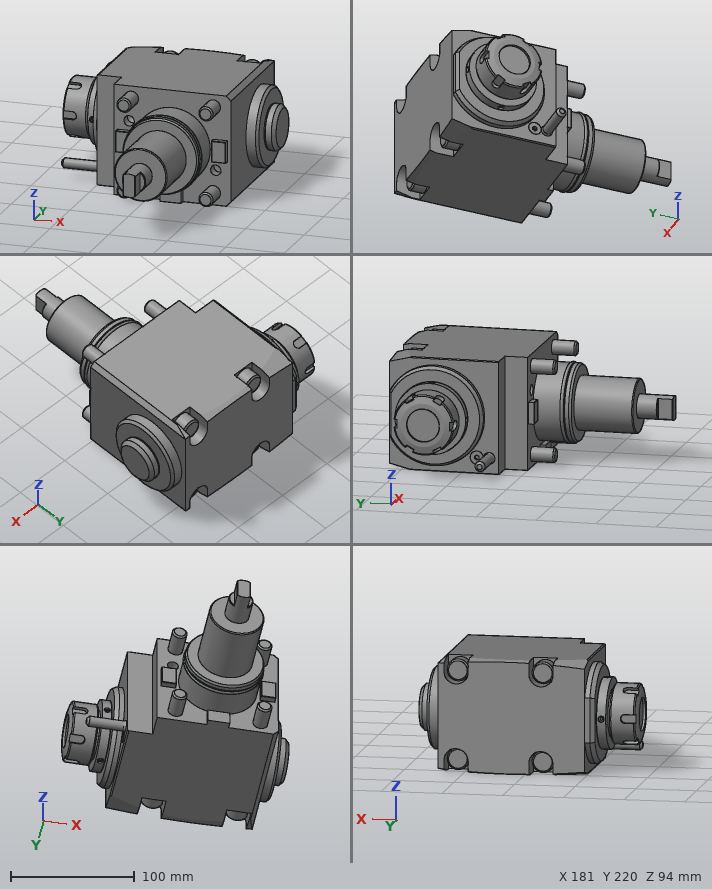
import cadquery as cq
import math


HEIGHT = 94.0
TOP_Z = HEIGHT / 2
LEFT_X = -70.8
RIGHT_X = 50.0
BACK_Y = 110.0
STEP_X = -50.0
STEP_Y = 19.0
RIGHT_CHAMFER = 4.0
LEFT_CHAMFER_X = 1.3
LEFT_CHAMFER_Z = 0.7
CONE_CENTRE_X = -6.4
CONE_CENTRE_Y = -39.2
CONE_RADIUS = 145.2
CONE_REACH = 66.0
CONE_ANGLE = 15.0

SPINDLE_Y = 72.0
FLANGE_X = -78.8
FLANGE_RADIUS = 41.4
FLANGE_CHAMFER_LENGTH = 3.7
FLANGE_CHAMFER_DEPTH = 2.2
FLANGE_FLAT_Y = 109.0
CAP_X = 60.3
CAP_RADIUS = 33.9
CAP_CHAMFER = 2.2
STUB_NECK_LENGTH = 1.0
STUB_NECK_RADIUS = 19.0
STUB_RADIUS = 19.4
STUB_CHAMFER = 3.0

NUT_FRONT_X = -111.3
OVERALL_X = 181.0
STUB_END_X = NUT_FRONT_X + OVERALL_X
RING_FRONT_X = -86.7
RING_RADIUS = 29.5
RING_CHAMFER = 0.5
NECK_RADIUS = 20.2
NUT_BACK_X = -88.7
NUT_RADIUS = 50.0 / 2
NUT_BACK_CHAMFER = 1.3
NUT_RIM_RADIUS = 24.0
NUT_RIM_SETBACK = 1.8
NUT_BEVEL_SETBACK = 2.9
NUT_FACE_RADIUS = 18.0
NUT_RECESS_RADIUS = 13.6
NUT_RECESS_DEPTH = 2.0
SLOT_COUNT = 6
SLOT_WIDTH = 7.0
SLOT_END_X = -98.0
SLOT_FLOOR_RADIUS = 22.0
RING_SCREW_COUNT = 4
RING_SCREW_RADIUS = 2.5
RING_SCREW_SETBACK = 1.8
RING_SOCKET_FLATS = 2.2
RING_SOCKET_DEPTH = 3.3

COLLAR_RADIUS = 32.3
COLLAR_LENGTH = 31.7
COLLAR_CHAMFER_LENGTH = 2.0
COLLAR_CHAMFER_DEPTH = 1.0
GROOVE_START = 22.5
GROOVE_END = 26.2
GROOVE_RADIUS = 30.8
SEAL_WIDTH = 2.9
SEAL_RADIUS = 33.2
SHANK_RADIUS = 22.5
SHANK_END = 80.7
SHANK_CHAMFER = 0.9
DRIVE_RADIUS = 20.0 / 2
DRIVE_STEP = 98.0
DRIVE_STEP_CHAMFER = 0.7
DRIVE_END = 110.0
TANG_WIDTH = 11.0
TANG_CHAMFER = 0.7

SCREW_X = 35.0
SCREW_Z = 36.5
SCREW_RADIUS = 12.0 / 2
SCREW_END = 20.0
SCREW_CHAMFER = 1.3
HEAD_RADIUS = 9.0
HEAD_LENGTH = 12.3
HEAD_CHAMFER = 1.3
POCKET_RADIUS = 10.0
POCKET_FLOOR_Y = 89.5

KEY_WIDTH = 18.0
KEY_LENGTH = 12.0
KEY_HEIGHT = 4.8
KEY_CENTRE_X = 41.0
KEY_CHAMFER = 0.5

PIN_HOLE_X = 37.0
PIN_HOLE_Z = 17.2
PIN_HOLE_RADIUS = 4.5
PIN_HOLE_DEPTH = 8.8
DRILL_POINT_ANGLE = 118.0

PIPE_Y = 26.8
PIPE_Z = -33.7
PIPE_RADIUS = 4.2
PIPE_END_X = -103.0
PIPE_CHAMFER = 2.0
PIPE_FOOT_LENGTH = 2.0
PIPE_FOOT_RADIUS = 4.8
PLUG_Y = 37.2
PLUG_RADIUS = 5.5
PLUG_SETBACK = 0.2
PLUG_SOCKET_FLATS = 3.5
PLUG_SOCKET_DEPTH = 3.3

EMBED = 2.2


def box_between(low, high):
    """Box between two opposite corners."""
    size = [b - a for a, b in zip(low, high)]
    return cq.Workplane("XY").box(*size, centered=False).translate(low)


def cylinder(start, direction, radius, length):
    """Round bar from a start point along a direction."""
    solid = cq.Solid.makeCylinder(radius, length, cq.Vector(*start), cq.Vector(*direction))
    return cq.Workplane(obj=solid)


def hex_prism(start, direction, flats, length):
    """Hexagonal bar given by its size across flats."""
    corner_diameter = flats / math.cos(math.radians(30))
    plane = cq.Plane(origin=start, normal=direction)
    return cq.Workplane(plane).polygon(6, corner_diameter).extrude(length)


def turned_along_x(points, y, z):
    """Body of revolution about a line parallel to X, from (x, radius) points."""
    profile = cq.Workplane("XY").polyline(points).close()
    return profile.revolve(360, (0, 0, 0), (1, 0, 0)).translate((0, y, z))



def conical_envelope():
    """Flat-topped disc whose rim slopes off above and below."""
    outer = CONE_RADIUS + CONE_REACH
    rim_z = TOP_Z - CONE_REACH * math.tan(math.radians(CONE_ANGLE))
    points = [
        (0, -TOP_Z), (CONE_RADIUS, -TOP_Z), (outer, -rim_z),
        (outer, rim_z), (CONE_RADIUS, TOP_Z), (0, TOP_Z),
    ]
    disc = cq.Workplane("XZ").polyline(points).close().revolve(360, (0, 0, 0), (0, 1, 0))
    return disc.translate((CONE_CENTRE_X, CONE_CENTRE_Y, 0))


def block():
    """Stepped block with chamfered sides and the conical relief at the back."""
    side_z = TOP_Z - LEFT_CHAMFER_Z
    end_z = TOP_Z - RIGHT_CHAMFER
    section = [
        (LEFT_X, -side_z), (LEFT_X + LEFT_CHAMFER_X, -TOP_Z),
        (RIGHT_X - RIGHT_CHAMFER, -TOP_Z), (RIGHT_X, -end_z),
        (RIGHT_X, end_z), (RIGHT_X - RIGHT_CHAMFER, TOP_Z),
        (LEFT_X + LEFT_CHAMFER_X, TOP_Z), (LEFT_X, side_z),
    ]
    body = cq.Workplane("XZ").polyline(section).close().extrude(-BACK_Y)
    step = box_between((LEFT_X, 0, -TOP_Z), (STEP_X, STEP_Y, TOP_Z))
    return body.cut(step).intersect(conical_envelope())


def flange():
    """Chamfered disc on the left face with a flat, also chamfered, on its back side."""
    def outline(inset, x):
        flat_y = FLANGE_FLAT_Y - inset
        radius = FLANGE_RADIUS - inset
        half_flat = math.sqrt(radius ** 2 - (flat_y - SPINDLE_Y) ** 2)
        plane = cq.Workplane("YZ", origin=(x, 0, 0))
        arc = plane.moveTo(flat_y, -half_flat).threePointArc((SPINDLE_Y - radius, 0), (flat_y, half_flat))
        return arc.close()

    shoulder_x = FLANGE_X + FLANGE_CHAMFER_LENGTH
    rim = outline(0, shoulder_x).extrude(LEFT_X + EMBED - shoulder_x)
    inner = outline(FLANGE_CHAMFER_DEPTH, FLANGE_X).wires().val()
    outer = outline(0, shoulder_x).wires().val()
    bevel = cq.Workplane(obj=cq.Solid.makeLoft([inner, outer], True))
    return rim.union(bevel)


def rear_cap():
    """Bearing cap and stub on the right face."""
    neck_end_x = CAP_X + STUB_NECK_LENGTH
    points = [
        (RIGHT_X - EMBED, 0), (RIGHT_X - EMBED, CAP_RADIUS),
        (CAP_X - CAP_CHAMFER, CAP_RADIUS), (CAP_X, CAP_RADIUS - CAP_CHAMFER),
        (CAP_X, STUB_NECK_RADIUS), (neck_end_x, STUB_NECK_RADIUS),
        (neck_end_x, STUB_RADIUS), (STUB_END_X - STUB_CHAMFER, STUB_RADIUS),
        (STUB_END_X, STUB_RADIUS - STUB_CHAMFER), (STUB_END_X, 0),
    ]
    return turned_along_x(points, SPINDLE_Y, 0)


def shank():
    """Collar with a seal in its groove, round shank and drive shaft with a flat tang."""
    seal_end = GROOVE_START + SEAL_WIDTH
    profile = (
        cq.Workplane("XY").moveTo(0, EMBED)
        .lineTo(COLLAR_RADIUS, EMBED)
        .lineTo(COLLAR_RADIUS, -GROOVE_START)
        .threePointArc((SEAL_RADIUS, -GROOVE_START - SEAL_WIDTH / 2), (COLLAR_RADIUS, -seal_end))
        .lineTo(GROOVE_RADIUS, -seal_end)
        .lineTo(GROOVE_RADIUS, -GROOVE_END)
        .lineTo(COLLAR_RADIUS, -GROOVE_END)
        .lineTo(COLLAR_RADIUS, -COLLAR_LENGTH + COLLAR_CHAMFER_LENGTH)
        .lineTo(COLLAR_RADIUS - COLLAR_CHAMFER_DEPTH, -COLLAR_LENGTH)
        .lineTo(SHANK_RADIUS, -COLLAR_LENGTH)
        .lineTo(SHANK_RADIUS, -SHANK_END + SHANK_CHAMFER)
        .lineTo(SHANK_RADIUS - SHANK_CHAMFER, -SHANK_END)
        .lineTo(DRIVE_RADIUS, -SHANK_END)
        .lineTo(DRIVE_RADIUS, -DRIVE_STEP + DRIVE_STEP_CHAMFER)
        .lineTo(DRIVE_RADIUS - DRIVE_STEP_CHAMFER, -DRIVE_STEP)
        .lineTo(0, -DRIVE_STEP)
        .close()
    )
    turned = profile.revolve(360, (0, 0, 0), (0, 1, 0))
    return turned.union(tang())


def tang():
    """Flat driving tang at the end of the drive shaft."""
    start_y = EMBED - DRIVE_STEP
    bar = cylinder((0, start_y, 0), (0, -1, 0), DRIVE_RADIUS, DRIVE_END + start_y)
    half = TANG_WIDTH / 2
    section = [
        (-half, start_y), (-half, TANG_CHAMFER - DRIVE_END), (TANG_CHAMFER - half, -DRIVE_END),
        (half - TANG_CHAMFER, -DRIVE_END), (half, TANG_CHAMFER - DRIVE_END), (half, start_y),
    ]
    blade = cq.Workplane("XY").polyline(section).close().extrude(DRIVE_RADIUS, both=True)
    return bar.intersect(blade)


def screw_pocket(x, side):
    """Counterbore at the back, open towards the top (side 1) or bottom (side -1)."""
    z = side * SCREW_Z
    depth = BACK_Y - POCKET_FLOOR_Y
    bore = cylinder((x, POCKET_FLOOR_Y, z), (0, 1, 0), POCKET_RADIUS, depth)
    low_z, high_z = sorted((z, side * TOP_Z))
    opening = box_between(
        (x - POCKET_RADIUS, POCKET_FLOOR_Y, low_z),
        (x + POCKET_RADIUS, BACK_Y, high_z),
    )
    return bore.union(opening)


def screw(x, z):
    """Head in the pocket and the thread end standing out of the front face."""
    head = cylinder((x, POCKET_FLOOR_Y - EMBED, z), (0, 1, 0), HEAD_RADIUS, HEAD_LENGTH + EMBED)
    thread = cylinder((x, EMBED, z), (0, -1, 0), SCREW_RADIUS, SCREW_END + EMBED)
    return head.faces(">Y").chamfer(HEAD_CHAMFER).union(thread.faces("<Y").chamfer(SCREW_CHAMFER))


def keys():
    """Key on each side of the shank and one below it, flush with the bottom face."""
    half = KEY_WIDTH / 2
    bodies = box_between((-half, -KEY_HEIGHT, -TOP_Z), (half, EMBED, KEY_LENGTH - TOP_Z))
    for side in (-1, 1):
        x = side * KEY_CENTRE_X
        key = box_between(
            (x - KEY_LENGTH / 2, -KEY_HEIGHT, -half),
            (x + KEY_LENGTH / 2, EMBED, half),
        )
        bodies = bodies.union(key.faces("<Y").chamfer(KEY_CHAMFER))
    return bodies


def pin_holes():
    """One drilled hole with a conical bottom and one flat-bottomed hole."""
    point_depth = PIN_HOLE_RADIUS / math.tan(math.radians(DRILL_POINT_ANGLE / 2))
    flat = cylinder((PIN_HOLE_X, 0, -PIN_HOLE_Z), (0, 1, 0), PIN_HOLE_RADIUS, PIN_HOLE_DEPTH)
    drilled = cylinder((-PIN_HOLE_X, 0, PIN_HOLE_Z), (0, 1, 0), PIN_HOLE_RADIUS, PIN_HOLE_DEPTH)
    point = cq.Solid.makeCone(
        PIN_HOLE_RADIUS, 0, point_depth,
        cq.Vector(-PIN_HOLE_X, PIN_HOLE_DEPTH, PIN_HOLE_Z), cq.Vector(0, 1, 0),
    )
    return flat.union(drilled).union(cq.Workplane(obj=point))


def coolant_pipe():
    """Straight pipe with a bevelled tip and a conical foot."""
    foot_x = LEFT_X - PIPE_FOOT_LENGTH
    points = [
        (LEFT_X + EMBED, 0), (LEFT_X + EMBED, PIPE_FOOT_RADIUS), (LEFT_X, PIPE_FOOT_RADIUS),
        (foot_x, PIPE_RADIUS), (PIPE_END_X + PIPE_CHAMFER, PIPE_RADIUS),
        (PIPE_END_X, PIPE_RADIUS - PIPE_CHAMFER), (PIPE_END_X, 0),
    ]
    return turned_along_x(points, PIPE_Y, PIPE_Z)


def plug_recess():
    """Shallow seat of the coolant plug and its hexagon socket."""
    start = (LEFT_X, PLUG_Y, PIPE_Z)
    seat = cylinder(start, (1, 0, 0), PLUG_RADIUS, PLUG_SETBACK)
    return seat.union(hex_prism(start, (1, 0, 0), PLUG_SOCKET_FLATS, PLUG_SOCKET_DEPTH))


def make_housing():
    body = block().cut(pin_holes()).cut(plug_recess())
    for x in (-SCREW_X, SCREW_X):
        for side in (-1, 1):
            body = body.cut(screw_pocket(x, side)).union(screw(x, side * SCREW_Z))
    for feature in (flange(), rear_cap(), shank(), keys(), coolant_pipe()):
        body = body.union(feature)
    return body



def spindle_blank():
    """Turned nut, neck and ring, seated on the flange face."""
    recess_x = NUT_FRONT_X + NUT_RECESS_DEPTH
    points = [
        (recess_x, 0), (recess_x, NUT_RECESS_RADIUS), (NUT_FRONT_X, NUT_RECESS_RADIUS),
        (NUT_FRONT_X, NUT_FACE_RADIUS), (NUT_FRONT_X + NUT_RIM_SETBACK, NUT_RIM_RADIUS),
        (NUT_FRONT_X + NUT_BEVEL_SETBACK, NUT_RADIUS), (NUT_BACK_X - NUT_BACK_CHAMFER, NUT_RADIUS),
        (NUT_BACK_X, NUT_RADIUS - NUT_BACK_CHAMFER), (NUT_BACK_X, NECK_RADIUS),
        (RING_FRONT_X, NECK_RADIUS), (RING_FRONT_X, RING_RADIUS),
        (FLANGE_X - RING_CHAMFER, RING_RADIUS), (FLANGE_X, RING_RADIUS - RING_CHAMFER), (FLANGE_X, 0),
    ]
    return turned_along_x(points, SPINDLE_Y, 0)


def around_spindle(shape, count, index):
    """Copy of a shape turned to one of several equal steps about the spindle axis."""
    return shape.rotate((0, SPINDLE_Y, 0), (1, SPINDLE_Y, 0), index * 360 / count)


def wrench_slot():
    """Round-ended slot on the front (-Y) side of the nut, open at the nut's front."""
    end_centre_x = SLOT_END_X - SLOT_WIDTH / 2
    floor_y = SPINDLE_Y - SLOT_FLOOR_RADIUS
    depth = NUT_RADIUS - SLOT_FLOOR_RADIUS
    straight = box_between(
        (NUT_FRONT_X, floor_y - depth, -SLOT_WIDTH / 2),
        (end_centre_x, floor_y, SLOT_WIDTH / 2),
    )
    return straight.union(cylinder((end_centre_x, floor_y, 0), (0, -1, 0), SLOT_WIDTH / 2, depth))


def ring_screw_recess():
    """Sunk set screw with a hexagon socket on the front (-Y) side of the ring."""
    start = ((RING_FRONT_X + FLANGE_X) / 2, SPINDLE_Y - RING_RADIUS, 0)
    hole = cylinder(start, (0, 1, 0), RING_SCREW_RADIUS, RING_SCREW_SETBACK)
    return hole.union(hex_prism(start, (0, 1, 0), RING_SOCKET_FLATS, RING_SOCKET_DEPTH))


def make_spindle():
    body = spindle_blank()
    for index in range(SLOT_COUNT):
        body = body.cut(around_spindle(wrench_slot(), SLOT_COUNT, index))
    for index in range(RING_SCREW_COUNT):
        body = body.cut(around_spindle(ring_screw_recess(), RING_SCREW_COUNT, index))
    return body


housing = make_housing()
spindle = make_spindle()
result = cq.Compound.makeCompound([housing.val(), spindle.val()])